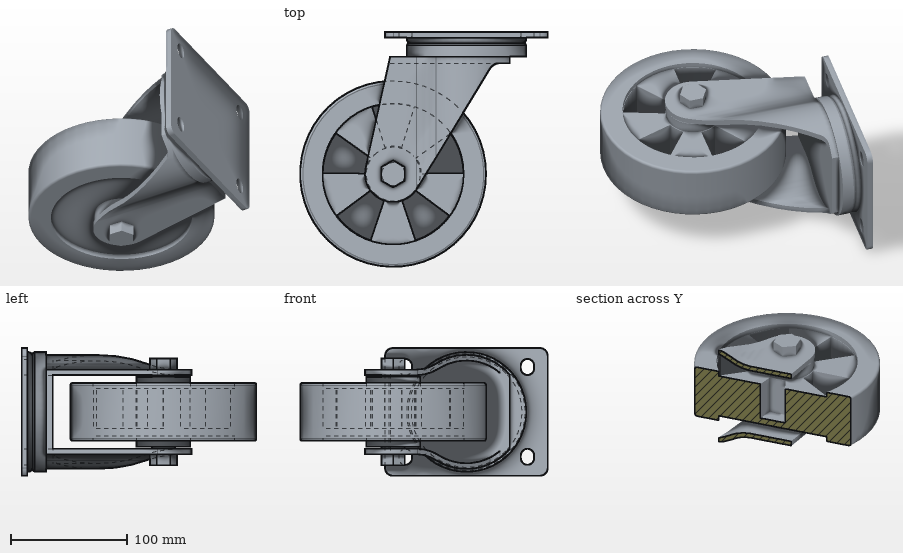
import cadquery as cq
import math


wheel_diameter = 160.0
wheel_width = 50.0
wheel_edge_radius = 2.3
rim_inner_diameter = 121.44
hub_diameter = 46.4
hub_width = 60.0
core_diameter = 48.0
spoke_width = 40.8
spoke_count = 5
window_angle = 34.8
window_outer_diameter = 120.8
window_floor_z = -14.0

spacer_diameter = 20.02
bolt_across_corners = 23.3
bolt_end_z = 46.0
bolt_turn = 30.0

swivel_x = 63.0
plate_length = 140.0
plate_height = 110.0
plate_thickness = 5.0
plate_corner_radius = 7.0
plate_back_y = 122.0
slot_pitch_x = 105.0
slot_pitch_z = 77.2
slot_width = 11.2
slot_length = 13.6

bearing_diameter = 103.04
bearing_groove_y = 112.4
upper_race_round = 4.0
lower_chamfer_height = 2.0
lower_chamfer_depth = 1.3

fork_top_y = 100.8
fork_bridge_thickness = 5.8
fork_front_x = -2.6
fork_back_x = 100.4
fork_eye_radius = 24.2
leg_thickness = 4.8
leg_outer_z = 36.4
bulge_radius = 49.0
bend_radius = 31.6
trailing_edge_angle = 58.7
trailing_fillet_radius = 10.0

plate_front_y = plate_back_y - plate_thickness
fork_bridge_y = fork_top_y - fork_bridge_thickness
leg_inner_z = leg_outer_z - leg_thickness


def cylinder(diameter, width):
    """Cylinder about the wheel axis, centred on the middle plane."""
    return cq.Workplane("XY").circle(diameter / 2).extrude(width / 2, both=True)


def polar(radius, angle):
    """Point at the given radius and angle in degrees."""
    return (radius * math.cos(math.radians(angle)), radius * math.sin(math.radians(angle)))


def spoke_window(middle_angle):
    """Sector pocket between two spokes, open towards +Z."""
    start = middle_angle - window_angle / 2
    end = middle_angle + window_angle / 2
    inner_radius = core_diameter / 2
    outer_radius = window_outer_diameter / 2
    return (
        cq.Workplane("XY", origin=(0, 0, window_floor_z))
        .moveTo(*polar(inner_radius, start))
        .lineTo(*polar(outer_radius, start))
        .threePointArc(polar(outer_radius, middle_angle), polar(outer_radius, end))
        .lineTo(*polar(inner_radius, end))
        .threePointArc(polar(inner_radius, middle_angle), polar(inner_radius, start))
        .close()
        .extrude(spoke_width / 2 - window_floor_z)
    )


def make_wheel():
    tyre = cylinder(wheel_diameter, wheel_width).faces("|Z").edges().fillet(wheel_edge_radius)
    wheel = tyre.cut(cylinder(rim_inner_diameter, wheel_width)).union(
        cylinder(rim_inner_diameter, spoke_width)
    )
    window_step = 360.0 / spoke_count
    first_window_angle = 270.0 - window_step / 2
    for index in range(spoke_count):
        wheel = wheel.cut(spoke_window(first_window_angle + index * window_step))
    return wheel.union(cylinder(hub_diameter, hub_width))


def make_axle():
    spacers = cylinder(spacer_diameter, 2 * leg_inner_z)
    bolt = (
        cq.Workplane("XY")
        .polygon(6, bolt_across_corners)
        .extrude(bolt_end_z, both=True)
        .rotate((0, 0, 0), (0, 0, 1), bolt_turn)
    )
    wheel_gap = cylinder(bolt_across_corners, 2 * leg_inner_z)
    return bolt.cut(wheel_gap).union(spacers)


def make_plate():
    plate = (
        cq.Workplane("XZ", origin=(swivel_x, plate_back_y, 0))
        .rect(plate_length, plate_height)
        .extrude(plate_thickness)
        .edges("|Y")
        .fillet(plate_corner_radius)
    )
    slots = (
        cq.Workplane("XZ", origin=(swivel_x, plate_back_y, 0))
        .rect(slot_pitch_x, slot_pitch_z, forConstruction=True)
        .vertices()
        .slot2D(slot_length, slot_width, 90)
        .extrude(plate_thickness)
    )
    return plate.cut(slots)


def bearing_race(back_y, front_y):
    """Disc of the swivel bearing from back_y down to front_y."""
    return (
        cq.Workplane("XZ", origin=(swivel_x, back_y, 0))
        .circle(bearing_diameter / 2)
        .extrude(back_y - front_y)
    )


def make_bearing():
    upper = bearing_race(plate_front_y, bearing_groove_y).faces("<Y").edges().fillet(upper_race_round)
    lower = (
        bearing_race(bearing_groove_y, fork_top_y)
        .faces(">Y")
        .edges()
        .chamfer(lower_chamfer_height, lower_chamfer_depth)
    )
    return upper.union(lower)


def leg_outline(offset, bottom_y):
    """Prism from the fork top down to bottom_y, bounded by surfaces `offset` inside the outer leg faces.

    Each side runs straight, bends outwards and then follows an arc about the swivel axis.
    """
    half_gap = leg_outer_z - offset
    bulge = bulge_radius - offset
    bend = bend_radius + offset
    bend_z = half_gap + bend
    bend_x = swivel_x - math.sqrt((bulge + bend) ** 2 - bend_z**2)
    turn = math.asin((swivel_x - bend_x) / (bulge + bend))
    bend_middle = (bend_x + bend * math.sin(turn / 2), bend_z - bend * math.cos(turn / 2))
    bend_end = (bend_x + bend * math.sin(turn), bend_z - bend * math.cos(turn))
    front_x = -2 * fork_eye_radius
    return (
        cq.Workplane("XZ", origin=(0, fork_top_y, 0))
        .moveTo(front_x, half_gap)
        .lineTo(bend_x, half_gap)
        .threePointArc(bend_middle, bend_end)
        .threePointArc((swivel_x + bulge, 0), (bend_end[0], -bend_end[1]))
        .threePointArc((bend_middle[0], -bend_middle[1]), (bend_x, -half_gap))
        .lineTo(front_x, -half_gap)
        .close()
        .extrude(fork_top_y - bottom_y)
    )


def fork_side_profile():
    """Silhouette of the fork seen along the wheel axis, as a prism."""
    front_distance = math.hypot(fork_front_x, fork_top_y)
    front_angle = math.degrees(math.atan2(fork_top_y, fork_front_x))
    front_tangent_angle = front_angle + math.degrees(math.acos(fork_eye_radius / front_distance))
    back_tangent_angle = trailing_edge_angle - 90.0
    back_tangent = polar(fork_eye_radius, back_tangent_angle)
    rise = fork_bridge_y - back_tangent[1]
    corner_x = back_tangent[0] + rise / math.tan(math.radians(trailing_edge_angle))
    trim = trailing_fillet_radius * math.tan(math.radians(trailing_edge_angle / 2))
    trim_x, trim_y = polar(trim, trailing_edge_angle)
    fillet_start = (corner_x - trim_x, fork_bridge_y - trim_y)
    fillet_end = (corner_x + trim, fork_bridge_y)
    return (
        cq.Workplane("XY")
        .moveTo(fork_front_x, fork_top_y)
        .lineTo(*polar(fork_eye_radius, front_tangent_angle))
        .threePointArc((0, -fork_eye_radius), back_tangent)
        .lineTo(*fillet_start)
        .tangentArcPoint(fillet_end, relative=False)
        .lineTo(fork_back_x, fork_bridge_y)
        .lineTo(fork_back_x, fork_top_y)
        .close()
        .extrude(bulge_radius, both=True)
    )


def make_fork():
    outer = leg_outline(0, -fork_eye_radius)
    inner = leg_outline(leg_thickness, -fork_eye_radius)
    bridge = leg_outline(0, fork_bridge_y)
    return outer.cut(inner).union(bridge).intersect(fork_side_profile())


result = make_plate().union(make_bearing()).union(make_fork()).union(make_axle()).union(make_wheel())